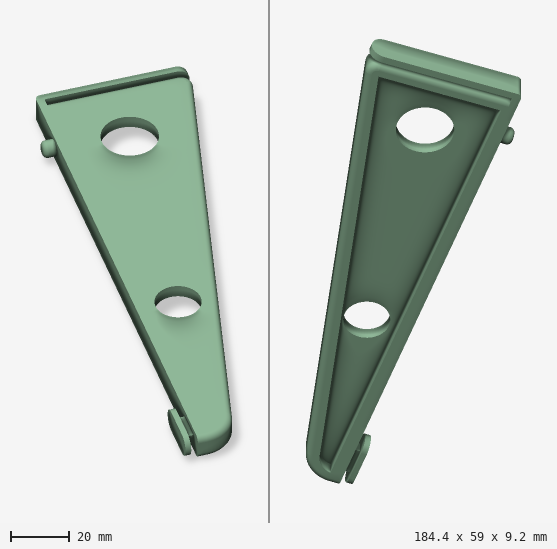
import cadquery as cq

length = 184.4
thickness = 9.2
mid_z = thickness / 2
full_round = 0.499

body_left = 4.2
left_height = 54.8
right_height = 13.0
left_corner_radius = 4.0
right_corner_radius = 12.0
rim_radius = 2.2

top_plate = 4.6
wall = 4.6

flange_thickness = 2.5
flange_length = 54.5
flange_corner_radius = 1.8
slot_start = 2.8
web_end = 45.0
web_thickness = 3.3

holes = [(29.3, 24.7, 20.0), (115.2, 14.8, 16.0)]

reach = 4.5
pin_x = 22.1
pin_diameter = 6.0
pin_round = 1.7
foot_length = 20.3
foot_height = 8.3
foot_thickness = 2.0
neck_length = 10.0
neck_height = 4.0


def block(x0, x1, y0, y1, height):
    """Box between the given x and y limits, centred on the mid-plane."""
    size = (x1 - x0, y1 - y0, height)
    centre = ((x0 + x1) / 2, (y0 + y1) / 2, mid_z)
    return cq.Workplane("XY").box(*size).translate(centre)


def tapered_prism(height):
    """Body outline with its two rear corners rounded, standing on z = 0."""
    corners = [(body_left, 0), (length, 0), (length, right_height), (body_left, left_height)]
    prism = cq.Workplane("XY").polyline(corners).close().extrude(height)
    prism = prism.faces(">X").edges(">Y").fillet(right_corner_radius)
    return prism.faces("<X").edges(">Y").fillet(left_corner_radius)


def make_body():
    """Body with rounded top and bottom rims, hollowed from below inside an even wall."""
    body = tapered_prism(thickness).faces("<Z or >Z").edges("not <Y").fillet(rim_radius)
    floor_outline = tapered_prism(thickness).faces("<Z").wires().toPending()
    recess = floor_outline.offset2D(-wall).extrude(thickness - top_plate, combine=False)
    return body.cut(recess)


def make_flange():
    """Side strip with a full-round rear end and a rounded front corner, joined to the body at the front."""
    strip = block(0, flange_thickness, 0, flange_length, thickness)
    strip = strip.edges(">Y and |X").fillet(full_round * thickness)
    base = block(0, body_left + rim_radius, 0, slot_start, thickness)
    return strip.union(base).edges("|Z and <X and <Y").fillet(flange_corner_radius)


def make_web():
    """Thin full-round tongue that closes most of the slot at mid height."""
    web = block(flange_thickness, body_left, slot_start, web_end, web_thickness)
    return web.edges(">Y and |X").fillet(full_round * web_thickness)


def make_pin():
    """Round pin with a domed tip, pointing forward."""
    pin = cq.Workplane("XZ", origin=(pin_x, 0, mid_z)).circle(pin_diameter / 2).extrude(reach)
    return pin.faces("<Y").edges().fillet(pin_round)


def make_foot():
    """Slot-shaped plate held off the front face by a narrower neck."""
    centre_x = length - foot_length / 2
    plate_back = -reach + foot_thickness
    neck = block(centre_x - neck_length / 2, centre_x + neck_length / 2, plate_back, 0, neck_height)
    plate = (
        cq.Workplane("XZ", origin=(centre_x, plate_back, mid_z))
        .slot2D(foot_length, foot_height)
        .extrude(foot_thickness)
    )
    return neck.union(plate)


result = make_body()
for feature in (make_flange(), make_web(), make_pin(), make_foot()):
    result = result.union(feature)

for hole_x, hole_y, hole_diameter in holes:
    bore = cq.Workplane("XY").center(hole_x, hole_y).circle(hole_diameter / 2).extrude(thickness)
    result = result.cut(bore)